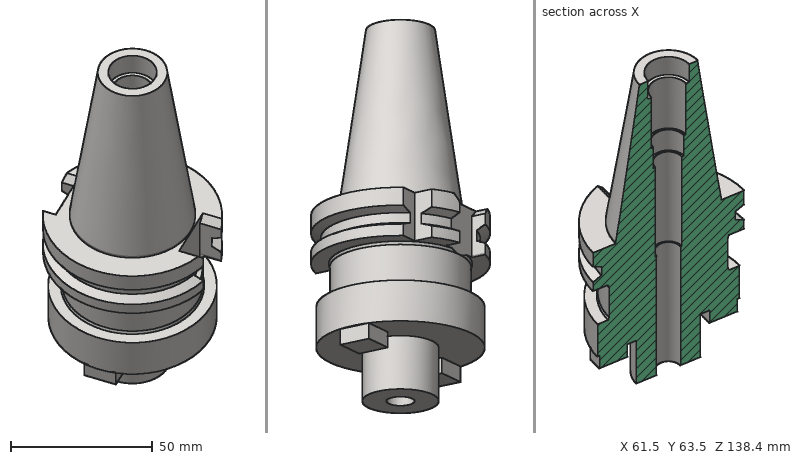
import cadquery as cq
import math

total_height = 138.4
gauge_z = 70.0
flange_top_z = 69.2
flange_bottom_z = 51.2
groove_top_z = 62.5
groove_bottom_z = 55.5
groove_side_height = 1.7
shoulder_top_z = 35.2
shoulder_bottom_z = 19.9
lip_height = 1.1

gauge_radius = 22.3
taper_half_angle = math.atan(7 / 48)
flange_diameter = 63.5
flange_radius = flange_diameter / 2
groove_radius = 28.2
neck_radius = 25.0
lip_radius = 25.5
shoulder_radius = 29.9
arbor_radius = 13.5
taper_end_radius = gauge_radius - (total_height - gauge_z) * math.tan(taper_half_angle)

bore_steps = [(8.6, 8.3), (7.2, 32.0), (6.4, 41.5), (5.5, 83.0), (5.0, total_height)]

slot_width = 16.0
slot_chamfer = 2.6
slot_end_z = 43.9
left_slot_floor = 25.0
right_slot_floor = 22.5
notch_offset = 18.5
key_width = 12.2
key_height = 5.8
key_inner_y = 17.2
key_outer_y = 29.0


def make_body():
    profile = [
        (0, 0),
        (arbor_radius, 0),
        (arbor_radius, shoulder_bottom_z),
        (shoulder_radius, shoulder_bottom_z),
        (shoulder_radius, shoulder_top_z),
        (lip_radius, shoulder_top_z),
        (neck_radius, shoulder_top_z + lip_height),
        (neck_radius, flange_bottom_z - lip_height),
        (lip_radius, flange_bottom_z),
        (flange_radius, flange_bottom_z),
        (flange_radius, groove_bottom_z),
        (groove_radius, groove_bottom_z + groove_side_height),
        (groove_radius, groove_top_z - groove_side_height),
        (flange_radius, groove_top_z),
        (flange_radius, flange_top_z),
        (gauge_radius, flange_top_z),
        (gauge_radius, gauge_z),
        (taper_end_radius, total_height),
        (0, total_height),
    ]
    return cq.Workplane("XZ").polyline(profile).close().revolve(360, (0, 0), (0, 1))


def make_drive_slot(side, floor):
    """Round-ended radial slot, chamfered at the flange face; side is +1 or -1 along X."""
    half = slot_width / 2
    mouth = half + slot_chamfer
    outline = (
        cq.Workplane("YZ", origin=(side * floor, 0, 0))
        .moveTo(-half, slot_end_z + half)
        .threePointArc((0, slot_end_z), (half, slot_end_z + half))
        .lineTo(half, flange_top_z - slot_chamfer)
        .lineTo(mouth, flange_top_z)
        .lineTo(-mouth, flange_top_z)
        .lineTo(-half, flange_top_z - slot_chamfer)
        .close()
    )
    return outline.extrude(side * flange_radius)


def make_corner_notch():
    return (
        cq.Workplane("XY", origin=(-notch_offset, notch_offset, flange_bottom_z))
        .rect(-flange_radius, flange_radius, centered=False)
        .extrude(flange_top_z - flange_bottom_z)
    )


def make_drive_keys():
    middle_y = (key_inner_y + key_outer_y) / 2
    return (
        cq.Workplane("XY", origin=(0, 0, shoulder_bottom_z))
        .pushPoints([(0, -middle_y), (0, middle_y)])
        .rect(key_width, key_outer_y - key_inner_y)
        .extrude(-key_height)
    )


result = make_body().union(make_drive_keys())
result = result.cut(make_drive_slot(-1, left_slot_floor))
result = result.cut(make_drive_slot(1, right_slot_floor))
result = result.cut(make_corner_notch())
for bore_radius, bore_depth in bore_steps:
    bore = cq.Workplane("XY", origin=(0, 0, total_height)).circle(bore_radius).extrude(-bore_depth)
    result = result.cut(bore)